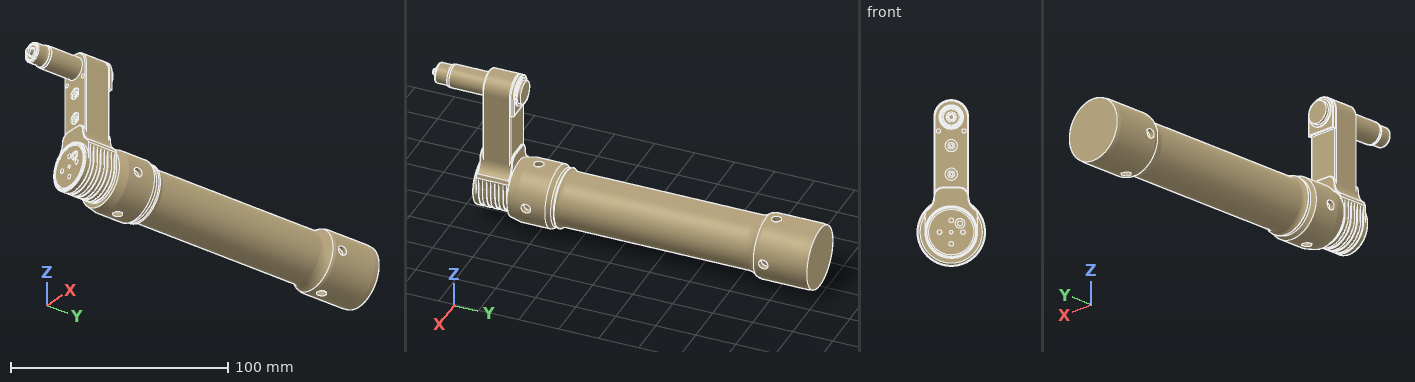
import cadquery as cq
import math


overall_length = 193.2

tube_diameter = 26.5
tube_radius = tube_diameter / 2
rear_collar_diameter = 31.5
rear_collar_radius = rear_collar_diameter / 2
rear_end_radius = 15.5
rear_neck_radius = 15.3
front_collar_radius = 15.5
front_face_radius = 14.3
ring_radius = 14.5
ring_groove_radius = 14.1
flare_radius = 4.3

housing_length = 150.5
front_taper_end = 5.0
front_collar_end = 19.5
ring_front = 21.3
groove_front = 21.8
groove_rear = 23.2
flare_start = 23.8
flare_end = 26.5
cove_start = 118.5
cove_end = 123.6
rear_collar_start = 125.4
rear_taper_start = 148.2
cove_radius = 7.7

set_screw_radius = 2.3
set_screw_depth = 2.9
front_set_screw_y = 10.0
rear_set_screw_y = 128.9
set_screws_per_collar = 4

arm_width = 16.0
arm_half_width = arm_width / 2
handle_z = 53.0
arm_rear = -0.8
arm_front = -14.9
arm_chamfer = 0.5

base_front = -16.2
base_top = 20.7
base_corner_radius = 4.3
base_chamfer = 0.4
shoulder_top = base_top - base_corner_radius
shoulder_bottom = 10.2
shoulder_half_width = 11.4

hub_diameter = 24.2
hub_radius = hub_diameter / 2
hub_flat_top = 8.3
hub_front = -18.2
hub_chamfer = 0.4
hub_ring_outer_radius = 11.2
hub_ring_inner_radius = 10.5
hub_ring_depth = 0.5

grip_groove_count = 4
grip_groove_first_y = -2.0
grip_groove_pitch = 4.0
grip_groove_width = 2.0
grip_groove_depth = 0.5
grip_groove_top = 7.3
grip_runout_start = 4.3

rear_plate_rear = 1.0
rear_plate_bottom = 43.7
rear_plate_chamfer = 0.4
rear_boss_step_radius = 6.8
rear_boss_step_rear = 1.5
rear_boss_rear = 3.0

handle_radius = 5.6
handle_band_radius = 5.5
handle_neck_radius = 5.2
handle_collar_diameter = 9.9
handle_collar_radius = handle_collar_diameter / 2
handle_face_radius = 4.6
handle_ring_outer_radius = 4.3
handle_ring_inner_radius = 3.7
handle_ring_depth = 0.5
stem_recess_radius = 2.3
stem_recess_depth = 0.5
stem_radius = 1.65
stem_nose_radius = 1.2
handle_band_y = -32.7
handle_neck_y = -33.8
handle_collar_y = -35.0
handle_face_chamfer_y = -39.6
handle_face_y = -40.2
stem_shoulder_y = -42.0
stem_tip_y = housing_length - overall_length

arm_screw_heights = (26.7, 39.8)
arm_screw_head_diameter = 5.6
arm_screw_head_radius = arm_screw_head_diameter / 2
arm_screw_head_depth = 0.8
arm_screw_socket_radius = 1.5
arm_screw_socket_depth = 1.5
arm_screw_bore_radius = 0.8
arm_screw_bore_depth = 2.3
dowel_spacing = 11.8
dowel_x = dowel_spacing / 2
dowel_z = 46.5
dowel_radius = 1.0
dowel_depth = 2.0
hub_hole_count = 4
hub_hole_circle_radius = 5.5
hub_hole_radius = 1.06
hub_hole_depth = 2.0
hub_center_hole_radius = 0.8
hub_screw_x = 4.0
hub_screw_z = 4.0
hub_screw_diameter = 4.5
hub_screw_radius = hub_screw_diameter / 2
hub_screw_socket_radius = 1.2
hub_screw_depth = 0.8


def plane_at(y):
    """Sketch plane at a given Y: local x is +X, local y is +Z, extrusion runs toward -Y."""
    return cq.Workplane("XZ", origin=(0, y, 0))


def cylinder(x, z, radius, rear, front):
    return plane_at(rear).center(x, z).circle(radius).extrude(rear - front)


def build_housing():
    profile = (
        cq.Workplane("XY")
        .lineTo(front_face_radius, 0)
        .lineTo(front_collar_radius, front_taper_end)
        .lineTo(front_collar_radius, front_collar_end)
        .lineTo(ring_radius, ring_front)
        .lineTo(ring_groove_radius, groove_front)
        .lineTo(ring_groove_radius, groove_rear)
        .lineTo(ring_radius, flare_start)
        .radiusArc((tube_radius, flare_end), flare_radius)
        .lineTo(tube_radius, cove_start)
        .radiusArc((rear_neck_radius, cove_end), cove_radius)
        .lineTo(rear_collar_radius, rear_collar_start)
        .lineTo(rear_collar_radius, rear_taper_start)
        .lineTo(rear_end_radius, housing_length)
        .lineTo(0, housing_length)
        .close()
    )
    body = profile.revolve(360, (0, 0, 0), (0, 1, 0))

    collars = ((front_set_screw_y, front_collar_radius), (rear_set_screw_y, rear_collar_radius))
    for hole_y, collar_radius in collars:
        hole = (
            cq.Workplane("XY", origin=(0, hole_y, collar_radius - set_screw_depth))
            .circle(set_screw_radius)
            .extrude(2 * set_screw_depth)
        )
        for index in range(set_screws_per_collar):
            angle = index * 360 / set_screws_per_collar
            body = body.cut(hole.rotate((0, 0, 0), (0, 1, 0), angle))
    return body


def arm_bar():
    """Straight bar of the arm with a round top end."""
    return (
        plane_at(arm_rear)
        .moveTo(-arm_half_width, 0)
        .lineTo(-arm_half_width, handle_z)
        .threePointArc((0, handle_z + arm_half_width), (arm_half_width, handle_z))
        .lineTo(arm_half_width, 0)
        .close()
        .extrude(arm_rear - arm_front)
        .faces("<Y or >Y")
        .chamfer(arm_chamfer)
    )


def arm_base():
    """Thick lower part of the arm: rounded top corners, concave shoulders and flat sides."""
    shoulder_rise = shoulder_top - shoulder_bottom
    shoulder_run = shoulder_half_width - arm_half_width
    shoulder_radius = (shoulder_rise**2 + shoulder_run**2) / (2 * shoulder_run)
    corner_x = arm_half_width - base_corner_radius
    diagonal = base_corner_radius * math.sqrt(0.5)
    return (
        plane_at(0)
        .moveTo(-hub_radius, 0)
        .lineTo(-hub_radius, hub_flat_top)
        .lineTo(-shoulder_half_width, shoulder_bottom)
        .radiusArc((-arm_half_width, shoulder_top), -shoulder_radius)
        .threePointArc((-corner_x - diagonal, shoulder_top + diagonal), (-corner_x, base_top))
        .lineTo(corner_x, base_top)
        .threePointArc((corner_x + diagonal, shoulder_top + diagonal), (arm_half_width, shoulder_top))
        .radiusArc((shoulder_half_width, shoulder_bottom), -shoulder_radius)
        .lineTo(hub_radius, hub_flat_top)
        .lineTo(hub_radius, 0)
        .close()
        .extrude(-base_front)
        .faces("<Y or >Y")
        .edges(">Z")
        .chamfer(base_chamfer)
    )


def hub():
    """Round hub with a shallow ring groove in its front face."""
    ring_floor = hub_front + hub_ring_depth
    ring = cylinder(0, 0, hub_ring_outer_radius, ring_floor, hub_front).cut(
        cylinder(0, 0, hub_ring_inner_radius, ring_floor, hub_front)
    )
    body = cylinder(0, 0, hub_radius, 0, hub_front).faces("<Y").chamfer(hub_chamfer)
    return body.cut(ring)


def grip_groove(center_y):
    """U-shaped groove round the bottom of the hub, running out of its flat sides."""
    floor_radius = hub_radius - grip_groove_depth
    rear = center_y + grip_groove_width / 2
    core = (
        plane_at(rear)
        .moveTo(-floor_radius, 0)
        .lineTo(-floor_radius, grip_runout_start)
        .lineTo(-hub_radius, grip_groove_top)
        .lineTo(hub_radius, grip_groove_top)
        .lineTo(floor_radius, grip_runout_start)
        .lineTo(floor_radius, 0)
        .threePointArc((0, -floor_radius), (-floor_radius, 0))
        .close()
        .extrude(grip_groove_width)
    )
    block_side = 3 * hub_radius
    block_center_z = grip_groove_top - block_side / 2
    block = (
        plane_at(rear)
        .center(0, block_center_z)
        .rect(block_side, block_side)
        .extrude(grip_groove_width)
    )
    return block.cut(core)


def rear_plate():
    """Plate behind the top of the arm, with a round boss on the handle axis."""
    plate = (
        plane_at(rear_plate_rear)
        .moveTo(-arm_half_width, rear_plate_bottom)
        .lineTo(-arm_half_width, handle_z)
        .threePointArc((0, handle_z + arm_half_width), (arm_half_width, handle_z))
        .lineTo(arm_half_width, rear_plate_bottom)
        .close()
        .extrude(rear_plate_rear - arm_rear)
        .faces(">Y")
        .chamfer(rear_plate_chamfer)
    )
    step = cylinder(0, handle_z, rear_boss_step_radius, rear_boss_step_rear, rear_plate_rear)
    boss = cylinder(0, handle_z, handle_radius, rear_boss_rear, rear_plate_rear)
    return plate.union(step).union(boss)


def handle():
    """Round handle: shank, stepped collar with two ring recesses in its end, and a thin stem."""
    ring_floor_y = handle_face_y + handle_ring_depth
    recess_floor_y = handle_face_y + stem_recess_depth
    return (
        cq.Workplane("XY", origin=(0, 0, handle_z))
        .moveTo(0, arm_front)
        .lineTo(handle_radius, arm_front)
        .lineTo(handle_radius, handle_band_y)
        .lineTo(handle_band_radius, handle_band_y)
        .lineTo(handle_band_radius, handle_neck_y)
        .lineTo(handle_neck_radius, handle_neck_y)
        .lineTo(handle_collar_radius, handle_collar_y)
        .lineTo(handle_collar_radius, handle_face_chamfer_y)
        .lineTo(handle_face_radius, handle_face_y)
        .lineTo(handle_ring_outer_radius, handle_face_y)
        .lineTo(handle_ring_outer_radius, ring_floor_y)
        .lineTo(handle_ring_inner_radius, ring_floor_y)
        .lineTo(handle_ring_inner_radius, handle_face_y)
        .lineTo(stem_recess_radius, handle_face_y)
        .lineTo(stem_recess_radius, recess_floor_y)
        .lineTo(stem_radius, recess_floor_y)
        .lineTo(stem_radius, stem_shoulder_y)
        .lineTo(stem_nose_radius, stem_tip_y)
        .lineTo(0, stem_tip_y)
        .close()
        .revolve(360, (0, 0, 0), (0, 1, 0))
    )


def cut_arm_holes(body):
    screw_hole_steps = (
        (arm_screw_head_radius, arm_screw_head_depth),
        (arm_screw_socket_radius, arm_screw_socket_depth),
        (arm_screw_bore_radius, arm_screw_bore_depth),
    )
    for screw_z in arm_screw_heights:
        for radius, depth in screw_hole_steps:
            body = body.cut(cylinder(0, screw_z, radius, arm_front + depth, arm_front))
    for dowel_side in (-1, 1):
        dowel_floor = arm_front + dowel_depth
        body = body.cut(cylinder(dowel_side * dowel_x, dowel_z, dowel_radius, dowel_floor, arm_front))
    return body


def cut_hub_holes(body):
    hole_floor = hub_front + hub_hole_depth
    for index in range(hub_hole_count):
        angle = index * 2 * math.pi / hub_hole_count
        hole_x = hub_hole_circle_radius * math.cos(angle)
        hole_z = hub_hole_circle_radius * math.sin(angle)
        body = body.cut(cylinder(hole_x, hole_z, hub_hole_radius, hole_floor, hub_front))
    body = body.cut(cylinder(0, 0, hub_center_hole_radius, hole_floor, hub_front))

    screw_floor = hub_front + hub_screw_depth
    recess = cylinder(hub_screw_x, hub_screw_z, hub_screw_radius, screw_floor, hub_front)
    screw = cylinder(hub_screw_x, hub_screw_z, hub_screw_socket_radius, screw_floor, hub_front)
    return body.cut(recess.cut(screw))


def build_crank_arm():
    body = arm_base().union(hub())
    for index in range(grip_groove_count):
        body = body.cut(grip_groove(grip_groove_first_y - index * grip_groove_pitch))
    body = body.union(arm_bar()).union(rear_plate()).union(handle())
    return cut_hub_holes(cut_arm_holes(body))


housing = build_housing()
crank_arm = build_crank_arm()
result = cq.Compound.makeCompound([housing.val(), crank_arm.val()])